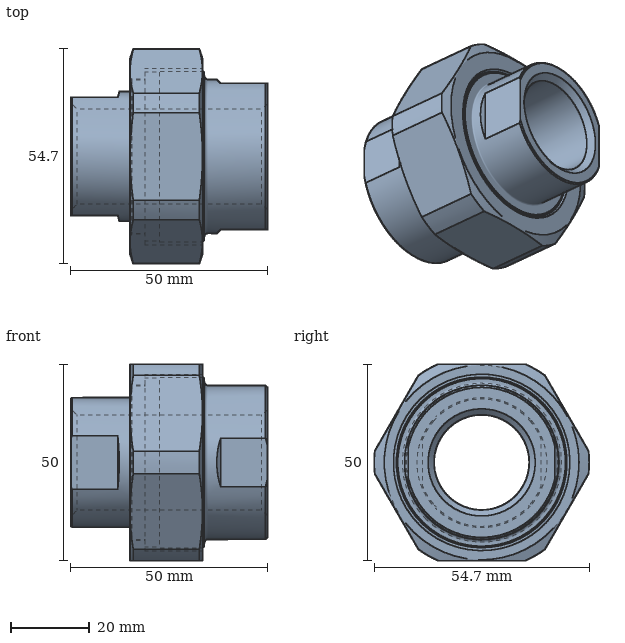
import cadquery as cq
import math

total_length = 50.0
bore_diameter = 24.1
bore_mouth_diameter = 27.25
bore_chamfer = (bore_mouth_diameter - bore_diameter) / 2

nut_start = 15.0
nut_end = 33.5
nut_across_flats = 50.0
nut_corner_diameter = 54.7
nut_face_diameter = 49.5
nut_chamfer_length = 0.9
nut_lip_diameter = 39.5
nut_lip_mouth_diameter = 40.4
nut_lip_length = 3.85
nut_bore_diameter = 44.85

tail_diameter = 33.0
tail_end_chamfer = 0.35
tail_flats = 30.1
tail_flat_length = 11.9
tail_flat_runout = 0.4
tail_fillet = 0.35
tail_shoulder_diameter = 39.0
tail_shoulder_chamfer = 0.3
tail_shoulder_start = nut_start + 0.1
tail_collar_diameter = 43.0
joint_x = 22.4

socket_diameter = 39.2
socket_end_chamfer = 0.55
socket_flats = 37.25
socket_flat_length = 11.9
socket_flat_runout = (socket_diameter - socket_flats) / 2
socket_collar_diameter = 43.35
socket_collar_chamfer = 0.4
socket_collar_end = 33.95
socket_fillet = 0.9


def turned(outline):
    """Close an (x, radius) outline and revolve it about the X axis."""
    return outline.close().revolve(360, (0, 0, 0), (1, 0, 0))


def wrench_cutter(x_end, x_flat, x_runout, across_flats, body_diameter):
    """Two blocks that cut opposite wrench flats facing +Y and -Y, with a sloped inner end."""
    inner = across_flats / 2
    outer = body_diameter / 2
    slope = (x_runout - x_flat) / (outer - inner)
    clear = body_diameter
    x_clear = x_flat + slope * (clear - inner)
    block = (
        cq.Workplane("XY")
        .polyline([(x_end, inner), (x_flat, inner), (x_clear, clear), (x_end, clear)])
        .close()
        .extrude(body_diameter / 2, both=True)
    )
    return block.union(block.mirror("XZ"))


def make_nut():
    corner_radius = nut_corner_diameter / 2
    face_radius = nut_face_diameter / 2
    lip_radius = nut_lip_diameter / 2
    lip_mouth_radius = nut_lip_mouth_diameter / 2
    bore_radius = nut_bore_diameter / 2
    lip_end = nut_start + nut_lip_length
    ring = turned(
        cq.Workplane("XY")
        .moveTo(nut_start, lip_mouth_radius)
        .lineTo(nut_start, face_radius)
        .lineTo(nut_start + nut_chamfer_length, corner_radius)
        .lineTo(nut_end - nut_chamfer_length, corner_radius)
        .lineTo(nut_end, face_radius)
        .lineTo(nut_end, bore_radius)
        .lineTo(lip_end, bore_radius)
        .lineTo(lip_end, lip_radius)
        .lineTo(nut_start + lip_mouth_radius - lip_radius, lip_radius)
    )
    across_corners = nut_across_flats / math.cos(math.radians(30))
    hexagon = cq.Workplane("YZ").polygon(6, across_corners).extrude(total_length)
    return ring.intersect(hexagon)


def make_tail():
    radius = tail_diameter / 2
    bore_radius = bore_diameter / 2
    shoulder_radius = tail_shoulder_diameter / 2
    collar_radius = tail_collar_diameter / 2
    lip_end = nut_start + nut_lip_length
    fillet_start = tail_shoulder_start - tail_fillet
    body = turned(
        cq.Workplane("XY")
        .moveTo(0, bore_mouth_diameter / 2)
        .lineTo(0, radius - tail_end_chamfer)
        .lineTo(tail_end_chamfer, radius)
        .lineTo(fillet_start, radius)
        .radiusArc((tail_shoulder_start, radius + tail_fillet), -tail_fillet)
        .lineTo(tail_shoulder_start, shoulder_radius - tail_shoulder_chamfer)
        .lineTo(tail_shoulder_start + tail_shoulder_chamfer, shoulder_radius)
        .lineTo(lip_end, shoulder_radius)
        .lineTo(lip_end, collar_radius)
        .lineTo(joint_x, collar_radius)
        .lineTo(joint_x, bore_radius)
        .lineTo(bore_chamfer, bore_radius)
    )
    flat_end = tail_flat_length + tail_flat_runout
    return body.cut(wrench_cutter(0, tail_flat_length, flat_end, tail_flats, tail_diameter))


def make_socket():
    radius = socket_diameter / 2
    bore_radius = bore_diameter / 2
    collar_radius = socket_collar_diameter / 2
    body = turned(
        cq.Workplane("XY")
        .moveTo(joint_x, bore_radius)
        .lineTo(joint_x, collar_radius)
        .lineTo(socket_collar_end - socket_collar_chamfer, collar_radius)
        .lineTo(socket_collar_end, collar_radius - socket_collar_chamfer)
        .lineTo(socket_collar_end, radius + socket_fillet)
        .radiusArc((socket_collar_end + socket_fillet, radius), -socket_fillet)
        .lineTo(total_length - socket_end_chamfer, radius)
        .lineTo(total_length, radius - socket_end_chamfer)
        .lineTo(total_length, bore_mouth_diameter / 2)
        .lineTo(total_length - bore_chamfer, bore_radius)
    )
    flat_start = total_length - socket_flat_length
    runout_start = flat_start - socket_flat_runout
    return body.cut(
        wrench_cutter(total_length, flat_start, runout_start, socket_flats, socket_diameter)
    )


nut = make_nut()
tail = make_tail()
socket = make_socket()

result = cq.Compound.makeCompound([nut.solids().val(), tail.solids().val(), socket.solids().val()])